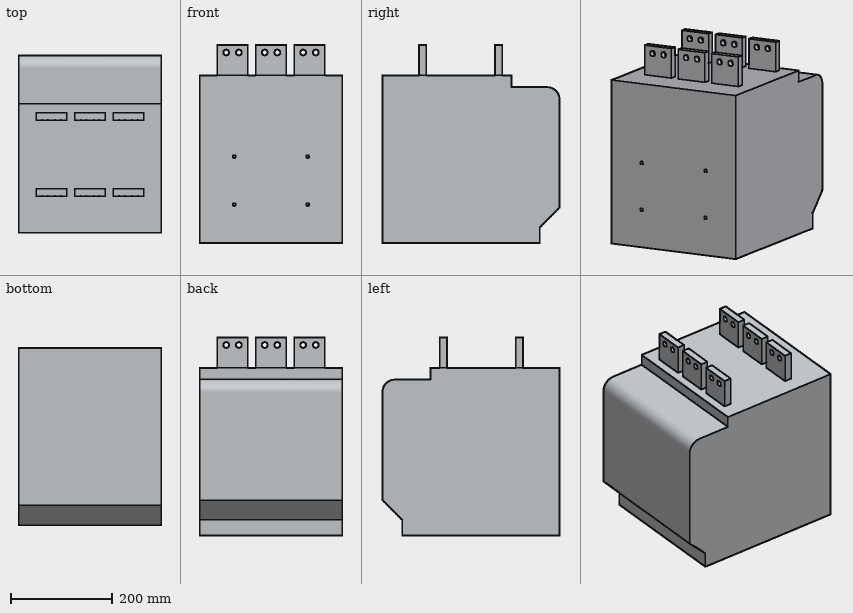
import cadquery as cq

width = 282.0
depth = 351.0
total_height = 392.0
tab_height = 60.0
body_height = total_height - tab_height

step_depth = 95.3
step_drop = 23.0
rear_radius = 25.0
rear_chamfer = 39.2
foot_height = 31.5

tab_width = 60.8
tab_thickness = 15.0
tab_pitch = 76.0
tabs_per_row = 3
row_spacing = 150.0
front_row_y = 80.0
tab_hole_diameter = 11.0
tab_hole_spacing = 25.0
tab_hole_from_top = 15.0

mount_hole_diameter = 6.0
mount_hole_depth = 15.0
mount_spacing_x = 145.0
mount_spacing_z = 95.0
mount_lower_z = 76.5


def make_housing():
    """Side profile in the YZ plane, extruded symmetrically along X; front face at Y = 0."""
    shelf_z = body_height - step_drop
    profile = (
        cq.Workplane("YZ")
        .moveTo(0, 0)
        .lineTo(depth - rear_chamfer, 0)
        .lineTo(depth - rear_chamfer, foot_height)
        .lineTo(depth, foot_height + rear_chamfer)
        .lineTo(depth, shelf_z - rear_radius)
        .tangentArcPoint((depth - rear_radius, shelf_z), relative=False)
        .lineTo(depth - step_depth, shelf_z)
        .lineTo(depth - step_depth, body_height)
        .lineTo(0, body_height)
        .close()
    )
    return profile.extrude(width / 2, both=True)


def make_tab(x, y):
    """Upright tab centred on (x, y), pierced front to back by a pair of holes."""
    tab = (
        cq.Workplane("XY", origin=(x, y, body_height))
        .rect(tab_width, tab_thickness)
        .extrude(tab_height)
    )
    holes = (
        cq.Workplane("XZ", origin=(x, y, total_height - tab_hole_from_top))
        .rarray(tab_hole_spacing, 4, 2, 1)
        .circle(tab_hole_diameter / 2)
        .extrude(tab_thickness, both=True)
    )
    return tab.cut(holes)


def make_mount_holes():
    """Cutters for the rectangle of blind holes, running in +Y from the front face."""
    centre_z = mount_lower_z + mount_spacing_z / 2
    return (
        cq.Workplane("XZ", origin=(0, 0, centre_z))
        .rarray(mount_spacing_x, mount_spacing_z, 2, 2)
        .circle(mount_hole_diameter / 2)
        .extrude(-mount_hole_depth)
    )


result = make_housing().cut(make_mount_holes())
for row_y in (front_row_y, front_row_y + row_spacing):
    for column in range(tabs_per_row):
        tab_x = (column - (tabs_per_row - 1) / 2) * tab_pitch
        result = result.union(make_tab(tab_x, row_y))